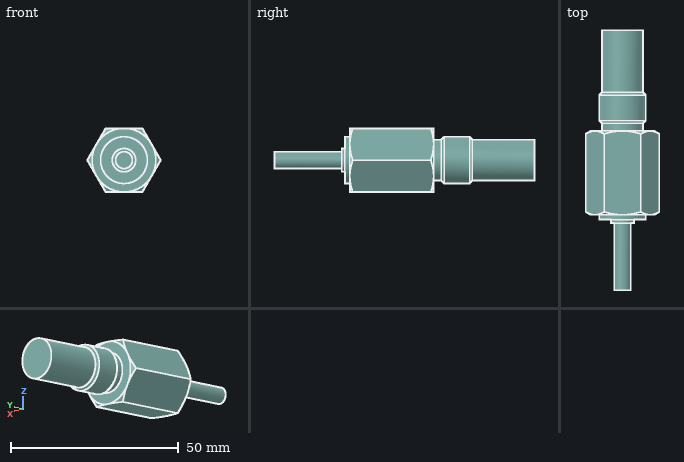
import cadquery as cq
import math

overall_length = 77.5

rod_diameter = 5.0
rod_length = 20.0
sleeve_diameter = 7.0
sleeve_length = 1.0
shoulder_diameter = 13.95
shoulder_length = 1.5

hex_across_flats = 19.0
hex_length = 24.95
hex_chamfer_angle = 30.0

tube_diameter = 12.25
neck_length = 2.3
collar_diameter = 13.95
collar_length = 9.15
collar_chamfer = 0.8

hex_across_corners = hex_across_flats / math.cos(math.radians(30))
sleeve_start = rod_length
shoulder_start = sleeve_start + sleeve_length
hex_start = shoulder_start + shoulder_length
hex_end = hex_start + hex_length
collar_start = hex_end + neck_length


def along_y(start):
    """Workplane at y = start whose normal points toward +Y."""
    return cq.Workplane("XZ", origin=(0, start, 0)).transformed(rotate=(180, 0, 0))


def cylinder(diameter, start, length):
    return along_y(start).circle(diameter / 2).extrude(length)


def make_hexagon():
    """Hexagon with corners on the X axis, coned at both ends."""
    prism = along_y(hex_start).polygon(6, hex_across_corners).extrude(hex_length)
    radial_chamfer = (hex_across_corners - hex_across_flats) / 2
    axial_chamfer = radial_chamfer * math.tan(math.radians(hex_chamfer_angle))
    face_radius = hex_across_flats / 2
    corner_radius = hex_across_corners / 2
    envelope = (
        cq.Workplane("XY")
        .moveTo(0, hex_start)
        .lineTo(face_radius, hex_start)
        .lineTo(corner_radius, hex_start + axial_chamfer)
        .lineTo(corner_radius, hex_end - axial_chamfer)
        .lineTo(face_radius, hex_end)
        .lineTo(0, hex_end)
        .close()
        .revolve(360, (0, 0, 0), (0, 1, 0))
    )
    return prism.intersect(envelope)


rod = cylinder(rod_diameter, 0, rod_length)
sleeve = cylinder(sleeve_diameter, sleeve_start, sleeve_length)
shoulder = cylinder(shoulder_diameter, shoulder_start, shoulder_length)
tube = cylinder(tube_diameter, hex_end, overall_length - hex_end)
collar = cylinder(collar_diameter, collar_start, collar_length).edges().chamfer(collar_chamfer)

result = rod.union(sleeve).union(shoulder).union(make_hexagon()).union(tube).union(collar)